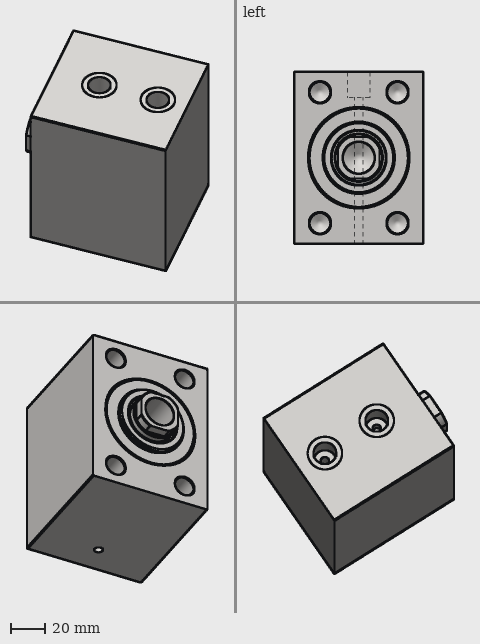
import cadquery as cq
import math


block_length = 83.0
block_width = 75.0
block_height = 100.0
block_edge_chamfer = 0.5

mount_spacing_y = 45.0
mount_spacing_z = 76.0
mount_diameter = 12.0
mount_mouth_diameter = 13.0
mount_depth = 30.0

port_positions_x = (29.0, 65.0)
port_diameter = 13.2
port_depth = 15.0
spotface_diameter = 20.0
spotface_depth = 0.1
oil_passage_diameter = 5.0

gland_diameter = 57.0
gland_length = 40.0
bore_mouth_diameter = 59.0
boss_diameter = 42.0
boss_height = 3.0
boss_chamfer = 1.0
wiper_diameter = 31.4
wiper_mouth_diameter = 32.4
wiper_depth = 1.5

rod_diameter = 28.0
rod_shoulder_height = 6.0
rod_shoulder_chamfer = 0.5
tip_length = 6.0
tip_diameter = 27.0
tip_chamfer = 0.3
tip_flats = 24.0
rod_hole_diameter = 18.4
rod_hole_mouth_diameter = 18.8
rod_hole_depth = 30.0

drill_point_angle = 120.0
rod_tip_x = -(rod_shoulder_height + tip_length)


def revolve_about_x(points):
    """Turn a closed profile of (x, radius) points around the X axis."""
    return cq.Workplane("XZ").polyline(points).close().revolve(360, (0, 0, 0), (1, 0, 0))


def drilled_hole(start_x, diameter, mouth_diameter, depth):
    """Blind hole cutter along +X with a 45 degree mouth chamfer and a conical bottom."""
    radius = diameter / 2
    mouth_radius = mouth_diameter / 2
    point_length = radius / math.tan(math.radians(drill_point_angle / 2))
    return revolve_about_x([
        (start_x, 0),
        (start_x, mouth_radius),
        (start_x + mouth_radius - radius, radius),
        (start_x + depth, radius),
        (start_x + depth + point_length, 0),
    ])


def top_hole(x, diameter, depth):
    """Round cutter going down from the top face."""
    return (
        cq.Workplane("XY", origin=(x, 0, block_height / 2))
        .circle(diameter / 2)
        .extrude(-depth)
    )


def gland_bore():
    """Flat-bottomed bore for the gland, with a chamfered mouth."""
    radius = gland_diameter / 2
    mouth_radius = bore_mouth_diameter / 2
    return revolve_about_x([
        (0, 0),
        (0, mouth_radius),
        (mouth_radius - radius, radius),
        (gland_length, radius),
        (gland_length, 0),
    ])


def make_housing():
    housing = (
        cq.Workplane("XY")
        .box(block_length, block_width, block_height, centered=(False, True, True))
        .edges("|X")
        .chamfer(block_edge_chamfer)
    )
    housing = housing.cut(gland_bore())

    mount_hole = drilled_hole(0, mount_diameter, mount_mouth_diameter, mount_depth)
    for side_y in (-1, 1):
        for side_z in (-1, 1):
            offset = (0, side_y * mount_spacing_y / 2, side_z * mount_spacing_z / 2)
            housing = housing.cut(mount_hole.translate(offset))

    front_x, rear_x = port_positions_x
    for x, passage_depth in ((front_x, block_height / 2), (rear_x, block_height)):
        housing = housing.cut(top_hole(x, spotface_diameter, spotface_depth))
        housing = housing.cut(top_hole(x, port_diameter, port_depth))
        housing = housing.cut(top_hole(x, oil_passage_diameter, passage_depth))
    return housing


def make_gland():
    rod_radius = rod_diameter / 2
    boss_radius = boss_diameter / 2
    wiper_radius = wiper_diameter / 2
    wiper_mouth_radius = wiper_mouth_diameter / 2
    return revolve_about_x([
        (gland_length, rod_radius),
        (gland_length, gland_diameter / 2),
        (0, gland_diameter / 2),
        (0, boss_radius),
        (boss_chamfer - boss_height, boss_radius),
        (-boss_height, boss_radius - boss_chamfer),
        (-boss_height, wiper_mouth_radius),
        (wiper_mouth_radius - wiper_radius - boss_height, wiper_radius),
        (wiper_depth - boss_height, wiper_radius),
        (wiper_depth - boss_height, rod_radius),
    ])


def make_rod():
    rod_radius = rod_diameter / 2
    tip_radius = tip_diameter / 2
    shank = revolve_about_x([
        (gland_length, 0),
        (gland_length, rod_radius),
        (rod_shoulder_chamfer - rod_shoulder_height, rod_radius),
        (-rod_shoulder_height, rod_radius - rod_shoulder_chamfer),
        (-rod_shoulder_height, 0),
    ])
    tip = revolve_about_x([
        (-rod_shoulder_height, 0),
        (-rod_shoulder_height, tip_radius),
        (rod_tip_x + tip_chamfer, tip_radius),
        (rod_tip_x, tip_radius - tip_chamfer),
        (rod_tip_x, 0),
    ])
    wrench_square = (
        cq.Workplane("YZ", origin=(rod_tip_x, 0, 0))
        .rect(tip_flats, tip_flats)
        .extrude(tip_length)
    )
    rod = shank.union(tip.intersect(wrench_square))
    return rod.cut(drilled_hole(rod_tip_x, rod_hole_diameter, rod_hole_mouth_diameter, rod_hole_depth))


housing = make_housing()
gland = make_gland()
rod = make_rod()

result = cq.Compound.makeCompound([housing.val(), gland.val(), rod.val()])